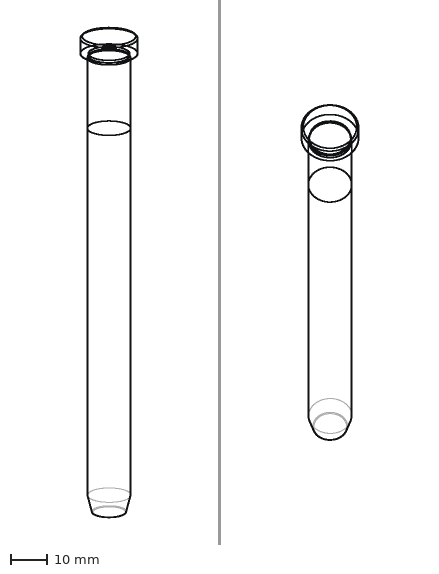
import cadquery as cq

total_length = 140.0
head_diameter = 16.0
head_height = 5.0
head_chamfer = 0.5
shank_diameter = 12.0

groove_depth = 0.3
groove_flat_height = 0.7
groove_slope_height = 0.5

joint_depth = 27.0
tip_height = 5.0
tip_inset = 1.3
tip_fillet = 0.3

head_radius = head_diameter / 2
shank_radius = shank_diameter / 2
groove_radius = shank_radius - groove_depth
tip_radius = shank_radius - tip_inset

joint_z = total_length - joint_depth
head_base_z = total_length - head_height
groove_flat_end_z = head_base_z - groove_flat_height
groove_end_z = groove_flat_end_z - groove_slope_height


def make_headed_section():
    """Upper body: chamfered head, relief groove and plain shank, revolved about Z."""
    return (
        cq.Workplane("XZ")
        .moveTo(0, joint_z)
        .lineTo(shank_radius, joint_z)
        .lineTo(shank_radius, groove_end_z)
        .lineTo(groove_radius, groove_flat_end_z)
        .lineTo(groove_radius, head_base_z)
        .lineTo(head_radius, head_base_z)
        .lineTo(head_radius, total_length - head_chamfer)
        .lineTo(head_radius - head_chamfer, total_length)
        .lineTo(0, total_length)
        .close()
        .revolve(360, (0, 0, 0), (0, 1, 0))
    )


def make_guide_shaft():
    """Lower body: straight shaft with a tapered tip and a rounded end edge."""
    shaft = (
        cq.Workplane("XZ")
        .lineTo(tip_radius, 0)
        .lineTo(shank_radius, tip_height)
        .lineTo(shank_radius, joint_z)
        .lineTo(0, joint_z)
        .close()
        .revolve(360, (0, 0, 0), (0, 1, 0))
    )
    return shaft.faces("<Z").edges().fillet(tip_fillet)


headed_section = make_headed_section()
guide_shaft = make_guide_shaft()

result = cq.Compound.makeCompound([headed_section.val(), guide_shaft.val()])